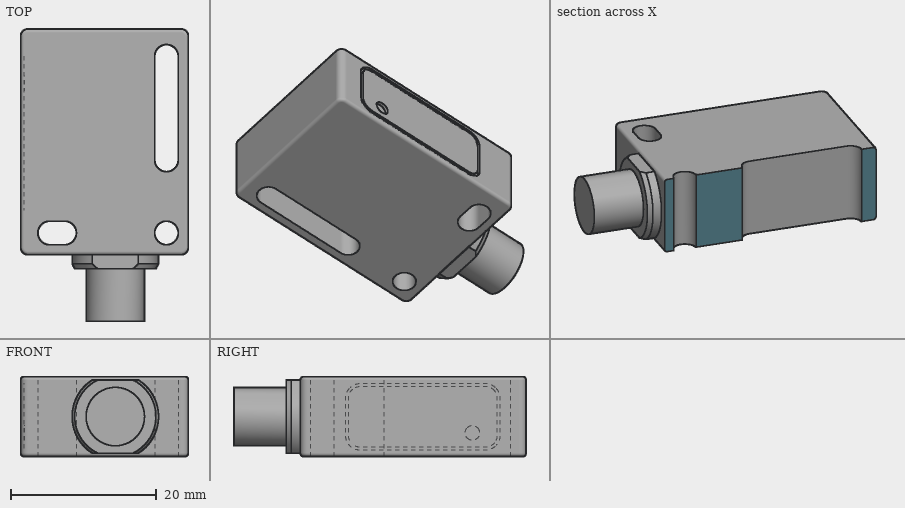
import cadquery as cq

total_length = 40.1
body_width = 23.0
body_length = 31.0
body_height = 11.0
corner_radius = 1.0
edge_radius = 0.5

connector_x = 1.5
collar_diameter = 11.85
collar_across_flats = 10.05
collar_length = 1.92
collar_chamfer_length = 0.7
collar_chamfer_depth = 0.35
stub_diameter = 8.0

opening_width = 3.2
opening_inset = 3.0
oblong_length = 5.25
oblong_inset = 5.0
slot_length = 17.4
slot_end_gap = 2.15

window_length = 21.2
window_height = 9.1
window_radius = 2.0
window_end_gap = 3.6
groove_width = 0.4
groove_depth = 0.4
indicator_diameter = 2.0
indicator_depth = 0.5
indicator_inset = 7.4
indicator_drop = 2.2

left_x = -body_width / 2
right_x = body_width / 2


def make_body():
    """Block with rounded upright corners and softened top and bottom edges."""
    block = cq.Workplane("XY").box(body_width, body_length, body_height, centered=(True, False, True))
    return block.edges("|Z").fillet(corner_radius).faces("<Z or >Z").edges().fillet(edge_radius)


def make_connector():
    """Chamfered collar with top and bottom flats, and the round stub beyond it."""
    collar_radius = collar_diameter / 2
    stub_length = total_length - body_length
    profile = [
        (0, 0),
        (collar_radius, 0),
        (collar_radius, collar_chamfer_length - collar_length),
        (collar_radius - collar_chamfer_depth, -collar_length),
        (0, -collar_length),
    ]
    collar = cq.Workplane("XY").polyline(profile).close().revolve(360, (0, 0), (0, 1))
    flats = cq.Workplane("XY").box(collar_diameter, 2 * collar_length, collar_across_flats)
    stub = cq.Workplane("XZ").circle(stub_diameter / 2).extrude(stub_length)
    return collar.intersect(flats).union(stub).translate((connector_x, 0, 0))


def opening(x, y, length, angle=0):
    """Cutter through the body: a round hole, or a slot when longer than it is wide."""
    sketch = cq.Workplane("XY", origin=(x, y, -body_height / 2))
    if length > opening_width:
        sketch = sketch.slot2D(length, opening_width, angle)
    else:
        sketch = sketch.circle(opening_width / 2)
    return sketch.extrude(body_height)


def make_openings():
    """Cutters for the round hole, the oblong hole and the long slot through the body."""
    opening_x = right_x - opening_inset
    slot_y = body_length - slot_end_gap - slot_length / 2
    hole = opening(opening_x, opening_inset, opening_width)
    oblong = opening(left_x + oblong_inset, opening_inset, oblong_length)
    slot = opening(opening_x, slot_y, slot_length, angle=90)
    return hole.union(oblong).union(slot)


def rounded_panel(margin):
    """Cutter for the window area, reduced by a margin all round."""
    window_y = body_length - window_end_gap - window_length / 2
    panel = cq.Workplane("XY").box(
        groove_depth, window_length - 2 * margin, window_height - 2 * margin, centered=(False, True, True)
    )
    return panel.edges("|X").fillet(window_radius - margin).translate((left_x, window_y, 0))


def make_side_recesses():
    """Cutters for the groove around the window and the round indicator recess."""
    groove = rounded_panel(0).cut(rounded_panel(groove_width))
    indicator = (
        cq.Workplane("YZ", origin=(left_x, body_length - indicator_inset, -indicator_drop))
        .circle(indicator_diameter / 2)
        .extrude(indicator_depth)
    )
    return groove.union(indicator)


result = make_body().union(make_connector()).cut(make_openings()).cut(make_side_recesses())